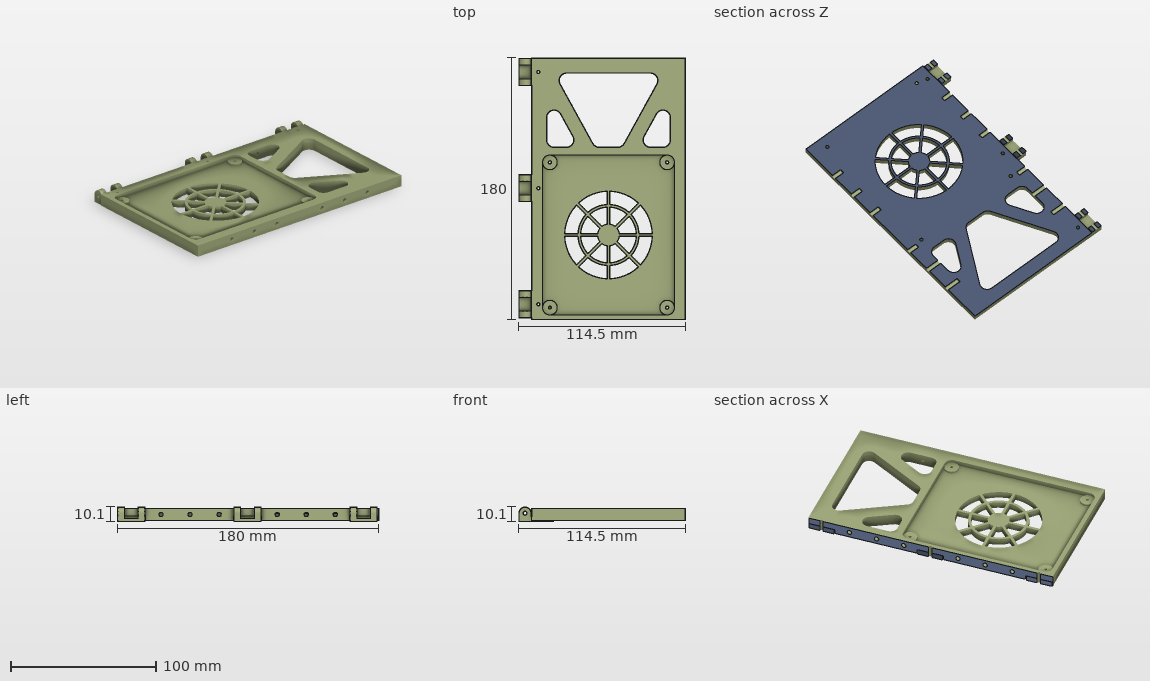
import cadquery as cq
import math


PLATE_LENGTH = 180.0
PLATE_WIDTH = 105.8
PLATE_BOTTOM = 0.63
PLATE_THICKNESS = 8.5
PLATE_TOP = PLATE_BOTTOM + PLATE_THICKNESS
PLATE_END = PLATE_LENGTH / 2
PLATE_MIDDLE = PLATE_WIDTH / 2
CORNER_RADIUS = 5.0
SCREW_DIAMETER = 2.0

POCKET_WIDTH = 90.7
POCKET_LENGTH = 110.0
POCKET_DEPTH = 3.6
POCKET_MARGIN = 3.2
POCKET_Y = -PLATE_END + POCKET_MARGIN + POCKET_LENGTH / 2
POCKET_FLOOR = PLATE_TOP - POCKET_DEPTH
BOSS_HEIGHT = 1.5
BOSS_SPACING_X = POCKET_WIDTH - 2 * CORNER_RADIUS
BOSS_SPACING_Y = POCKET_LENGTH - 2 * CORNER_RADIUS

GRILLE_RADIUS = 30.0
GRILLE_BAR = 2.0
RING_RADIUS = 21.0
HUB_RADIUS = 7.5
SPOKE_LINES = 4
SPOKE_STEP = 180 / SPOKE_LINES

RIM = 10.5
WEB = 9.7
WINDOW_ANGLE = math.radians(61.2)
WINDOW_TOP = PLATE_END - RIM
WINDOW_BOTTOM = PLATE_END - 61.4
WINDOW_FOOT = 18.7

EDGE_HOLE_PITCH = 20.0
EDGE_HOLE_DIAMETER = 2.9
EDGE_HOLE_Z = PLATE_BOTTOM + PLATE_THICKNESS / 2
EDGE_HOLES_PER_HALF = 3
BLIND_DEPTH = 7.2

BRACKET_COUNT = 3
BRACKET_PITCH = 80.0
CLEARANCE = 0.25
BRACKET_WIDTH = 18.7
LUG_LENGTH = 8.5
LUG_RADIUS = LUG_LENGTH / 2
HINGE_OVERHANG = LUG_LENGTH + CLEARANCE
LUG_THICKNESS = 4.7
LUG_FLOOR = 2.0
PIN_X = LUG_RADIUS - HINGE_OVERHANG
PIN_Z = 5.8
BRACKET_HEIGHT = PIN_Z + LUG_RADIUS
PIN_DIAMETER = 2.5
LEAF_LENGTH = 15.1
LEAF_THICKNESS = 3.8
LEAF_SCREW_X = 4.7
FIRST_BRACKET_Y = PLATE_END - CLEARANCE - BRACKET_WIDTH / 2
BRACKET_YS = [FIRST_BRACKET_Y - i * BRACKET_PITCH for i in range(BRACKET_COUNT)]


def box(x_min, x_max, y_min, y_max, z_min, z_max):
    size = (x_max - x_min, y_max - y_min, z_max - z_min)
    return cq.Workplane().box(*size, centered=False).translate((x_min, y_min, z_min))


def upright_cylinder(x, y, radius, z_min, z_max):
    return cq.Workplane(origin=(x, y, z_min)).circle(radius).extrude(z_max - z_min)


def rounded_window(points):
    """Prism through the whole plate, with its upright edges rounded."""
    outline = cq.Workplane(origin=(0, 0, PLATE_BOTTOM)).polyline(points).close()
    return outline.extrude(PLATE_THICKNESS).edges("|Z").fillet(CORNER_RADIUS)


def middle_window():
    """Trapezoid that widens toward the plate's end."""
    foot = WINDOW_FOOT / 2
    head = foot + (WINDOW_TOP - WINDOW_BOTTOM) / math.tan(WINDOW_ANGLE)
    return rounded_window(
        [
            (PLATE_MIDDLE - foot, WINDOW_BOTTOM),
            (PLATE_MIDDLE + foot, WINDOW_BOTTOM),
            (PLATE_MIDDLE + head, WINDOW_TOP),
            (PLATE_MIDDLE - head, WINDOW_TOP),
        ]
    )


def side_window():
    """Triangle between the hinge-side rim and the web beside the middle window."""
    corner_x = PLATE_MIDDLE - WINDOW_FOOT / 2 - WEB / math.sin(WINDOW_ANGLE)
    height = (corner_x - RIM) * math.tan(WINDOW_ANGLE)
    return rounded_window(
        [
            (RIM, WINDOW_BOTTOM),
            (corner_x, WINDOW_BOTTOM),
            (RIM, WINDOW_BOTTOM + height),
        ]
    )


def mirrored(shape):
    """The same shape on the other side of the plate's lengthwise middle plane."""
    return shape.mirror("YZ", (PLATE_MIDDLE, 0, 0))


def pocket():
    blank = (
        cq.Workplane(origin=(PLATE_MIDDLE, POCKET_Y, POCKET_FLOOR))
        .rect(POCKET_WIDTH, POCKET_LENGTH)
        .extrude(POCKET_DEPTH)
        .edges("|Z")
        .fillet(CORNER_RADIUS)
    )
    bosses = boss_pattern().circle(CORNER_RADIUS).extrude(BOSS_HEIGHT)
    return blank.cut(bosses)


def boss_pattern():
    return cq.Workplane(origin=(PLATE_MIDDLE, POCKET_Y, POCKET_FLOOR)).rect(
        BOSS_SPACING_X, BOSS_SPACING_Y, forConstruction=True
    ).vertices()


def boss_holes():
    return boss_pattern().circle(SCREW_DIAMETER / 2).extrude(2 * PLATE_THICKNESS, both=True)


def grille_openings():
    """Round opening less its hub, ring and spokes."""
    floor = cq.Workplane(origin=(PLATE_MIDDLE, POCKET_Y, PLATE_BOTTOM))
    height = POCKET_FLOOR - PLATE_BOTTOM
    openings = floor.circle(GRILLE_RADIUS).extrude(height)
    openings = openings.cut(floor.circle(HUB_RADIUS).extrude(height))
    ring = floor.circle(RING_RADIUS).circle(RING_RADIUS - GRILLE_BAR).extrude(height)
    openings = openings.cut(ring)
    for i in range(SPOKE_LINES):
        spoke = floor.transformed(rotate=(0, 0, i * SPOKE_STEP))
        openings = openings.cut(spoke.rect(3 * GRILLE_RADIUS, GRILLE_BAR).extrude(height))
    return openings


def edge_holes():
    """Hinge-side holes: blind beside the pocket, as deep as the rim beside the windows."""
    pocket_edge = POCKET_Y + POCKET_LENGTH / 2
    holes = cq.Workplane()
    for step in range(1, EDGE_HOLES_PER_HALF + 1):
        for y in (-step * EDGE_HOLE_PITCH, step * EDGE_HOLE_PITCH):
            depth = BLIND_DEPTH if y < pocket_edge else RIM
            hole = cq.Workplane("YZ", origin=(0, y, EDGE_HOLE_Z)).circle(EDGE_HOLE_DIAMETER / 2)
            holes = holes.add(hole.extrude(depth))
    return holes.combine()


def leaf_screw_hole(y):
    return upright_cylinder(LEAF_SCREW_X, y, SCREW_DIAMETER / 2, 0, PLATE_TOP)


def leaf_recess(y):
    reach = BRACKET_WIDTH / 2 + CLEARANCE
    return box(0, LEAF_LENGTH + CLEARANCE, y - reach, y + reach, PLATE_BOTTOM, LEAF_THICKNESS)


def make_plate():
    plate = box(0, PLATE_WIDTH, -PLATE_END, PLATE_END, PLATE_BOTTOM, PLATE_TOP)
    plate = plate.cut(middle_window())
    for feature in (side_window(), edge_holes()):
        plate = plate.cut(feature).cut(mirrored(feature))
    plate = plate.cut(pocket()).cut(boss_holes()).cut(grille_openings())
    for y in BRACKET_YS:
        plate = plate.cut(leaf_recess(y)).cut(leaf_screw_hole(y))
    return plate


def make_bracket(y):
    """Two round-topped lugs joined by a floor, on a leaf that runs under the plate."""
    half_width = BRACKET_WIDTH / 2
    half_gap = half_width - LUG_THICKNESS
    lugs = (
        cq.Workplane("XZ", origin=(0, y + half_width, 0))
        .moveTo(-HINGE_OVERHANG, 0)
        .lineTo(-CLEARANCE, 0)
        .lineTo(-CLEARANCE, PIN_Z)
        .threePointArc((PIN_X, BRACKET_HEIGHT), (-HINGE_OVERHANG, PIN_Z))
        .close()
        .extrude(BRACKET_WIDTH)
    )
    gap = box(-HINGE_OVERHANG, 0, y - half_gap, y + half_gap, LUG_FLOOR, BRACKET_HEIGHT)
    pin_hole = (
        cq.Workplane("XZ", origin=(PIN_X, y + half_width, PIN_Z))
        .circle(PIN_DIAMETER / 2)
        .extrude(BRACKET_WIDTH)
    )
    leaf = box(-CLEARANCE, LEAF_LENGTH, y - half_width, y + half_width, 0, LEAF_THICKNESS)
    return lugs.cut(gap).cut(pin_hole).union(leaf).cut(leaf_screw_hole(y))


plate = make_plate()
brackets = [make_bracket(y) for y in BRACKET_YS]

result = cq.Compound.makeCompound([plate.val(), *[bracket.val() for bracket in brackets]])